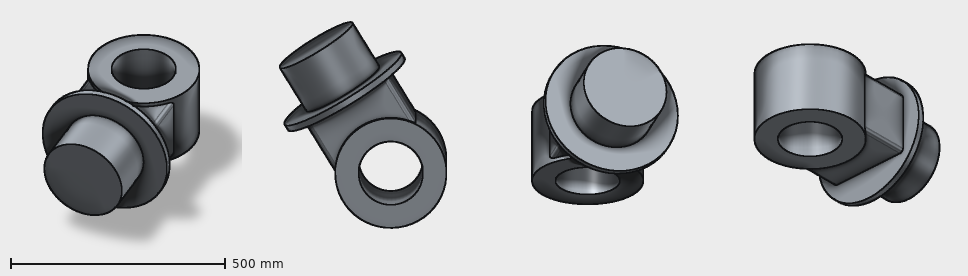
import cadquery as cq

ring_diameter = 260.0
bore_diameter = 150.0
ring_height = 180.0

neck_width = 220.0
neck_height = 160.0
neck_fillet = 10.0

flange_diameter = 320.0
flange_thickness = 16.0
shaft_diameter = 200.0
shaft_length = 120.0

flange_offset = 200.0


def disc_along_minus_y(diameter, start, length):
    """Cylinder on the Y axis, from y = -start towards -Y."""
    return (
        cq.Workplane("XZ")
        .workplane(offset=start)
        .circle(diameter / 2)
        .extrude(length)
    )


ring = cq.Workplane("XY").cylinder(ring_height, ring_diameter / 2)

neck = (
    cq.Workplane("XZ")
    .rect(neck_width, neck_height)
    .extrude(flange_offset)
    .edges("|Y")
    .fillet(neck_fillet)
)

flange = disc_along_minus_y(flange_diameter, flange_offset, flange_thickness)
shaft = disc_along_minus_y(shaft_diameter, flange_offset + flange_thickness, shaft_length)

bore = cq.Workplane("XY").cylinder(ring_height, bore_diameter / 2)

result = ring.union(neck).union(flange).union(shaft).cut(bore)